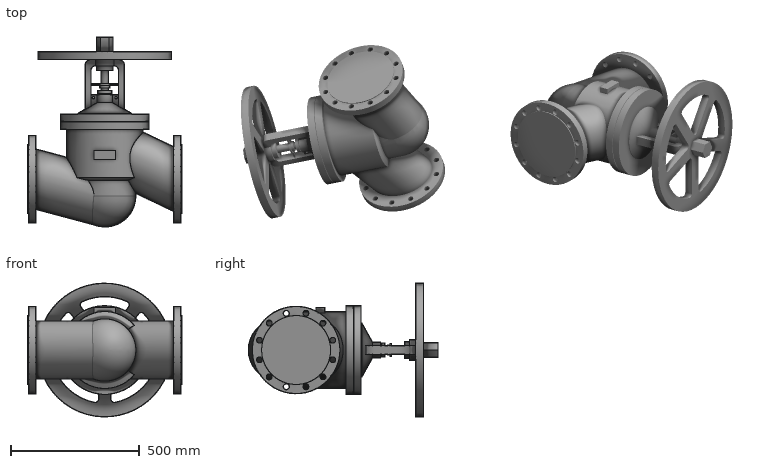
import cadquery as cq
import math


face_to_face = 600.0
body_radius = 149.5
body_bottom = 6.0
neck_radius = 121.0
neck_top = -5.0
elbow_center_y = -65.0

pipe_radius = 113.4
inlet_angle = -15.0
outlet_angle = 25.6

flange_radius = 170.0
flange_thickness = 28.0
raised_face_radius = 134.0
raised_face_height = 4.0
bolt_count = 12
bolt_circle_radius = 147.5
bolt_hole_diameter = 22.0

joint_radius = 172.5
joint_bottom = 193.0
joint_top = 253.0
gasket_bottom = 222.5
gasket_thickness = 2.0
gasket_radius = 160.0

cone_base_radius = 104.5
cone_rim_height = 3.0
cone_top = 297.0
gland_radius = 30.5
gland_top = 328.5
gland_groove_radius = 22.0
gland_collar_radius = 27.5
gland_collar_bottom = 332.0
gland_collar_top = 344.5
stem_radius = 15.0
sleeve_radius = 20.0
sleeve_bottom = 354.5
guide_radius = 26.0
guide_bottom = 364.5
guide_thickness = 6.5
guide_bar_width = 20.0

yoke_outer_half_width = 76.7
yoke_inner_half_width = 53.0
yoke_depth = 34.0
yoke_crossbar_bottom = 440.0
yoke_outer_fillet = 22.0
yoke_inner_fillet = 17.0

lug_thickness = 10.0
lug_hole_diameter = 8.0
lug_hole_x = 43.8
lug_hole_y = 316.0

hub_radius = 40.5
nose_radius = 32.5
nose_bottom = 422.0
wheel_bottom = 464.5
wheel_thickness = 30.5
wheel_radius = 260.0
rim_inner_radius = 207.0
spoke_count = 5
spoke_width = 48.0
window_fillet = 13.0
nut_sides = 6
nut_across_corners = 66.0
nut_top = 552.2

plate_width = 82.0
plate_length = 35.0
plate_center_y = 94.5
plate_top_z = 166.0

wheel_top = wheel_bottom + wheel_thickness
half_length = face_to_face / 2
flange_back_x = half_length - raised_face_height - flange_thickness


def y_disc(radius, bottom, top):
    """Cylinder on the stem axis between two heights along Y."""
    return cq.Workplane("XZ", origin=(0, bottom, 0)).circle(radius).extrude(bottom - top)


def body():
    """Valve chamber, neck and spherical elbow turned about the stem axis."""
    elbow_bottom = elbow_center_y - neck_radius
    profile = (
        cq.Workplane("XY")
        .moveTo(0, elbow_bottom)
        .radiusArc((neck_radius, elbow_center_y), -neck_radius)
        .lineTo(neck_radius, neck_top)
        .lineTo(body_radius, body_bottom)
        .lineTo(body_radius, joint_bottom)
        .lineTo(0, joint_bottom)
        .close()
    )
    return profile.revolve(360, (0, 0, 0), (0, 1, 0))


def pipe(side, angle):
    """Pipe trimmed flush with the back of its flange and running to mid-body; side is -1 or +1 along X."""
    slope = math.radians(angle)
    direction = cq.Vector(-side * math.cos(slope), math.sin(slope), 0)
    overrun = pipe_radius * math.tan(abs(slope))
    start = cq.Vector(side * flange_back_x, 0, 0) - direction * overrun
    length = flange_back_x / math.cos(slope) + overrun
    tube = cq.Workplane(cq.Solid.makeCylinder(pipe_radius, length, start, direction))
    between_flanges = 2 * flange_back_x
    return tube.intersect(cq.Workplane("XY").box(between_flanges, between_flanges, between_flanges))


def pipe_flange(side):
    """Bolted flange with a raised face; side is -1 or +1 along X."""
    plane = cq.Plane(origin=(side * flange_back_x, 0, 0), xDir=(0, 1, 0), normal=(side, 0, 0))
    disc = cq.Workplane(plane).circle(flange_radius).extrude(flange_thickness)
    half_bolt_pitch = 180 / bolt_count
    holes = (
        cq.Workplane(plane)
        .polarArray(bolt_circle_radius, half_bolt_pitch, 360, bolt_count)
        .circle(bolt_hole_diameter / 2)
        .extrude(flange_thickness)
    )
    overall_thickness = flange_thickness + raised_face_height
    raised_face = cq.Workplane(plane).circle(raised_face_radius).extrude(overall_thickness)
    return disc.cut(holes).union(raised_face)


def bonnet_joint():
    """Body flange and bonnet flange with a recessed gasket between them."""
    gasket_top = gasket_bottom + gasket_thickness
    lower = y_disc(joint_radius, joint_bottom, gasket_bottom)
    gasket = y_disc(gasket_radius, gasket_bottom, gasket_top)
    upper = y_disc(joint_radius, gasket_top, joint_top)
    return lower.union(gasket).union(upper)


def bonnet_and_stem():
    """Bonnet cone, gland, collars, stem and wheel hub as one turned piece."""
    guide_top = guide_bottom + guide_thickness
    profile = (
        cq.Workplane("XY")
        .moveTo(0, joint_top)
        .lineTo(cone_base_radius, joint_top)
        .lineTo(cone_base_radius, joint_top + cone_rim_height)
        .lineTo(gland_radius, cone_top)
        .lineTo(gland_radius, gland_top)
        .lineTo(gland_groove_radius, gland_top)
        .lineTo(gland_groove_radius, gland_collar_bottom)
        .lineTo(gland_collar_radius, gland_collar_bottom)
        .lineTo(gland_collar_radius, gland_collar_top)
        .lineTo(stem_radius, gland_collar_top)
        .lineTo(stem_radius, sleeve_bottom)
        .lineTo(sleeve_radius, sleeve_bottom)
        .lineTo(sleeve_radius, guide_bottom)
        .lineTo(guide_radius, guide_bottom)
        .lineTo(guide_radius, guide_top)
        .lineTo(stem_radius, guide_top)
        .lineTo(stem_radius, nose_bottom)
        .lineTo(nose_radius, nose_bottom)
        .lineTo(nose_radius, yoke_crossbar_bottom)
        .lineTo(hub_radius, yoke_crossbar_bottom)
        .lineTo(hub_radius, wheel_bottom)
        .lineTo(0, wheel_bottom)
        .close()
    )
    return profile.revolve(360, (0, 0, 0), (0, 1, 0))


def centred_slab(width, bottom, top, depth):
    """Block centred on X and Z between two heights along Y."""
    return cq.Workplane("XY").box(width, top - bottom, depth).translate((0, (bottom + top) / 2, 0))


def yoke():
    """U-shaped frame whose legs run down into the bonnet cone."""
    outer = centred_slab(2 * yoke_outer_half_width, joint_top, wheel_bottom, yoke_depth)
    outer = outer.edges("|Z and >Y").fillet(yoke_outer_fillet)
    opening = centred_slab(2 * yoke_inner_half_width, joint_top, yoke_crossbar_bottom, yoke_depth)
    opening = opening.edges("|Z and >Y").fillet(yoke_inner_fillet)
    return outer.cut(opening)


def guide_bar():
    """Flat bar tying the stem guide to both yoke legs."""
    guide_top = guide_bottom + guide_thickness
    return centred_slab(2 * yoke_inner_half_width, guide_bottom, guide_top, guide_bar_width)


def lug_plates():
    """Drilled plates filling the space between the gland and the yoke legs."""
    plate = centred_slab(2 * yoke_inner_half_width, joint_top, gland_top, lug_thickness)
    holes = (
        cq.Workplane("XY", origin=(0, lug_hole_y, -lug_thickness / 2))
        .pushPoints([(-lug_hole_x, 0), (lug_hole_x, 0)])
        .circle(lug_hole_diameter / 2)
        .extrude(lug_thickness)
    )
    return plate.cut(holes)


def handwheel():
    """Spoked wheel; one spoke points along -Z."""
    wheel = y_disc(wheel_radius, wheel_bottom, wheel_top)
    half_pitch = math.pi / spoke_count
    apex = spoke_width / 2 / math.sin(half_pitch)
    edge_offset = math.asin(spoke_width / 2 / rim_inner_radius)
    corner_x = rim_inner_radius * math.sin(half_pitch - edge_offset)
    corner_z = rim_inner_radius * math.cos(half_pitch - edge_offset)
    window = (
        cq.Workplane("XZ", origin=(0, wheel_top, 0))
        .moveTo(0, apex)
        .lineTo(corner_x, corner_z)
        .threePointArc((0, rim_inner_radius), (-corner_x, corner_z))
        .close()
        .extrude(wheel_thickness)
        .edges("|Y")
        .fillet(window_fillet)
    )
    for index in range(spoke_count):
        wheel = wheel.cut(window.rotate((0, 0, 0), (0, 1, 0), index * 360 / spoke_count))
    return wheel


def stem_nut():
    """Hexagon on top of the wheel with two corners on the X axis."""
    return (
        cq.Workplane("XZ", origin=(0, wheel_top, 0))
        .polygon(nut_sides, nut_across_corners)
        .extrude(wheel_top - nut_top)
    )


def nameplate():
    """Raised rectangular pad on the +Z side of the body."""
    return (
        cq.Workplane("XY", origin=(0, plate_center_y, 0))
        .rect(plate_width, plate_length)
        .extrude(plate_top_z)
    )


result = body()
for side, angle in ((-1, inlet_angle), (1, outlet_angle)):
    result = result.union(pipe(side, angle)).union(pipe_flange(side))
for piece in (
    bonnet_joint(),
    bonnet_and_stem(),
    yoke(),
    guide_bar(),
    lug_plates(),
    handwheel(),
    stem_nut(),
    nameplate(),
):
    result = result.union(piece)